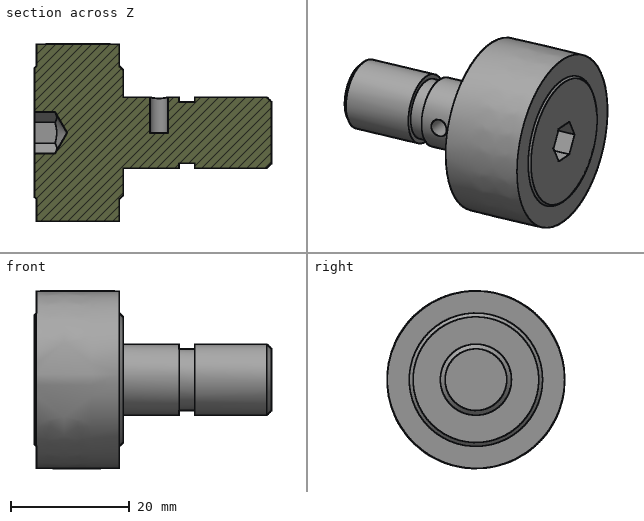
import cadquery as cq
import math

total_length = 40.0
stud_length = 25.0
head_length = total_length - stud_length

roller_diameter = 30.0
roller_width = 14.0
roller_start = 0.35
roller_end = roller_start + roller_width
crown_radius = 500.0
crown_drop = crown_radius - math.sqrt(crown_radius**2 - (roller_width / 2) ** 2)

washer_diameter = 22.5
front_washer_chamfer = roller_start
back_washer_chamfer = head_length - roller_end

stud_diameter = 12.0
stud_chamfer = 0.8
threaded_length = 13.0
groove_diameter = 10.4
groove_width = 2.6
groove_end = total_length - threaded_length

hex_across_flats = 6.0
hex_across_corners = hex_across_flats / math.cos(math.pi / 6)
hex_depth = 3.5
drill_point_angle = 120.0
drill_point_depth = hex_across_corners / 2 / math.tan(math.radians(drill_point_angle / 2))

oil_hole_diameter = 3.0
oil_hole_from_head = 6.0


def make_roller():
    """Crowned ring body, revolved about X."""
    edge_radius = roller_diameter / 2 - crown_drop
    profile = (
        cq.Workplane("XY")
        .moveTo(roller_start, 0)
        .lineTo(roller_start, edge_radius)
        .threePointArc(
            ((roller_start + roller_end) / 2, roller_diameter / 2),
            (roller_end, edge_radius),
        )
        .lineTo(roller_end, 0)
        .close()
    )
    return profile.revolve(360, (0, 0, 0), (1, 0, 0))


def make_washers():
    """One disc through the roller whose two chamfered ends form the washers."""
    disc = cq.Workplane("YZ").circle(washer_diameter / 2).extrude(head_length)
    disc = disc.faces("<X").chamfer(front_washer_chamfer)
    return disc.faces(">X").chamfer(back_washer_chamfer)


def make_stud():
    """Stud with a chamfered tip and a relief groove behind the thread."""
    stud = (
        cq.Workplane("YZ", origin=(head_length, 0, 0))
        .circle(stud_diameter / 2)
        .extrude(stud_length)
        .faces(">X")
        .chamfer(stud_chamfer)
    )
    groove = (
        cq.Workplane("YZ", origin=(groove_end - groove_width, 0, 0))
        .circle(stud_diameter / 2)
        .circle(groove_diameter / 2)
        .extrude(groove_width)
    )
    return stud.cut(groove)


def make_hex_socket():
    """Hexagonal prism, corners on the Y axis, trimmed by a drill point."""
    socket_depth = hex_depth + drill_point_depth
    prism = cq.Workplane("YZ").polygon(6, hex_across_corners).extrude(socket_depth)
    drill = (
        cq.Workplane("XY")
        .polyline(
            [
                (0, 0),
                (0, hex_across_corners / 2),
                (hex_depth, hex_across_corners / 2),
                (socket_depth, 0),
            ]
        )
        .close()
        .revolve(360, (0, 0, 0), (1, 0, 0))
    )
    return prism.intersect(drill)


def make_oil_hole():
    """Blind radial hole from the +Y side to the stud axis."""
    return (
        cq.Workplane("XZ", origin=(head_length + oil_hole_from_head, 0, 0))
        .circle(oil_hole_diameter / 2)
        .extrude(-stud_diameter / 2)
    )


body = make_roller().union(make_washers()).union(make_stud())
result = body.cut(make_hex_socket()).cut(make_oil_hole())